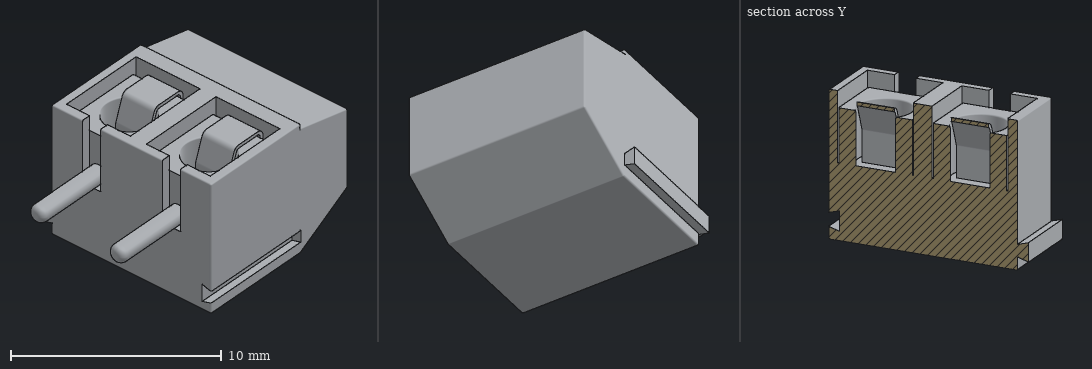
import cadquery as cq
import math

OVERALL_DEPTH = 14.1
BODY_WIDTH = 10.04
BODY_DEPTH = 10.0
BODY_HEIGHT = 7.6
STEP_Y = 6.55
STEP_DROP = 0.27
BACK_TOP_Z = 6.61
BACK_BOTTOM_Z = 1.97
EDGE_RADIUS = 0.1

POLE_COUNT = 2
POLE_PITCH = 5.0
FIRST_POLE_X = 2.54

POCKET_WIDTH = 4.0
FRONT_WALL = 0.51
POCKET_BACK_Y = 5.6
POCKET_BOTTOM_Z = 3.95

BLOCK_WIDTH = 3.9
BLOCK_BACK_Y = 5.33
BLOCK_TOP_Z = 6.74
SCREW_HOLE_RADIUS = 1.4
SCREW_HOLE_ROUND = 0.1
SCREW_HOLE_Y = 2.75

STRIP_WIDTH = 2.0
STRIP_THICKNESS = 0.2
STRIP_BACK_Y = BLOCK_BACK_Y + STRIP_THICKNESS
STRIP_TOP_Z = 7.19
STRIP_LEG_Y = 2.93
STRIP_BEND_Z = 5.64
STRIP_SLOPE = math.radians(20)
STRIP_BEND_RADIUS = 0.4

PIN_RADIUS = 0.5
PIN_LENGTH = OVERALL_DEPTH - BODY_DEPTH
PIN_Z = 4.5
PIN_TIP_ROUND = 0.35
SLOT_WIDTH = 1.13

RAIL_REACH = 0.56
RAIL_TIP_HEIGHT = 1.0
RAIL_Z = 1.0
RAIL_SLOPE = math.radians(16)
RAIL_ROOT_DEPTH = 2 * EDGE_RADIUS


def box(x_middle, width, y_start, y_end, z_start, z_end):
    """Box centred on x_middle, spanning the given y and z ranges."""
    size_y = y_end - y_start
    size_z = z_end - z_start
    corner = (x_middle - width / 2, y_start, z_start)
    return cq.Workplane("XY").box(width, size_y, size_z, centered=False).translate(corner)


def make_housing():
    side_outline = [
        (0, 0),
        (STEP_Y, 0),
        (BODY_DEPTH, BACK_BOTTOM_Z),
        (BODY_DEPTH, BACK_TOP_Z),
        (STEP_Y, BODY_HEIGHT - STEP_DROP),
        (STEP_Y, BODY_HEIGHT),
        (0, BODY_HEIGHT),
    ]
    housing = cq.Workplane("YZ").polyline(side_outline).close().extrude(BODY_WIDTH)
    inner_corner = cq.selectors.NearestToPointSelector(
        (BODY_WIDTH / 2, STEP_Y, BODY_HEIGHT - STEP_DROP)
    )
    return housing.edges(cq.selectors.InverseSelector(inner_corner)).fillet(EDGE_RADIUS)


def make_dovetail(face_x):
    """Dovetail bar pointing to -X from face_x, with its root set back behind that face."""
    root_x = face_x + RAIL_ROOT_DEPTH
    tip_x = face_x - RAIL_REACH
    half_tip = RAIL_TIP_HEIGHT / 2
    half_root = half_tip - (root_x - tip_x) * math.tan(RAIL_SLOPE)
    outline = [
        (tip_x, RAIL_Z - half_tip),
        (root_x, RAIL_Z - half_root),
        (root_x, RAIL_Z + half_root),
        (tip_x, RAIL_Z + half_tip),
    ]
    return cq.Workplane("XZ").polyline(outline).close().extrude(-STEP_Y)


def make_pocket(x_middle):
    """Space removed for one pole: the pocket plus the pin slot in the front wall."""
    pocket = box(x_middle, POCKET_WIDTH, FRONT_WALL, POCKET_BACK_Y, POCKET_BOTTOM_Z, BODY_HEIGHT)
    slot = box(x_middle, SLOT_WIDTH, 0, FRONT_WALL, POCKET_BOTTOM_Z, BODY_HEIGHT)
    return pocket.union(slot)


def make_block(x_middle):
    """Clamp block with a rounded screw hole down to the pocket bottom."""
    block = box(x_middle, BLOCK_WIDTH, FRONT_WALL, BLOCK_BACK_Y, POCKET_BOTTOM_Z, BLOCK_TOP_Z)
    hole = (
        cq.Workplane("XY")
        .center(x_middle, SCREW_HOLE_Y)
        .circle(SCREW_HOLE_RADIUS)
        .extrude(BODY_HEIGHT)
    )
    block = block.cut(hole)
    return block.faces(">Z").edges("%CIRCLE").fillet(SCREW_HOLE_ROUND)


def make_strip(x_middle):
    """Hooked strip: a hollow loop whose lower rung is buried in the housing."""
    rung_z = POCKET_BOTTOM_Z - STRIP_THICKNESS
    top_front_y = STRIP_LEG_Y + (STRIP_TOP_Z - STRIP_BEND_Z) * math.tan(STRIP_SLOPE)
    outline = [
        (STRIP_BACK_Y, rung_z),
        (STRIP_BACK_Y, STRIP_TOP_Z),
        (top_front_y, STRIP_TOP_Z),
        (STRIP_LEG_Y, STRIP_BEND_Z),
        (STRIP_LEG_Y, rung_z),
    ]
    loop = (
        cq.Workplane("YZ")
        .workplane(offset=x_middle - STRIP_WIDTH / 2)
        .polyline(outline)
        .close()
        .extrude(STRIP_WIDTH)
    )
    loop = loop.edges("|X").edges("not <Z").fillet(STRIP_BEND_RADIUS)
    return loop.faces("<X or >X").shell(-STRIP_THICKNESS)


def make_pin(x_middle):
    pin = (
        cq.Workplane("XZ", origin=(0, FRONT_WALL, 0))
        .center(x_middle, PIN_Z)
        .circle(PIN_RADIUS)
        .extrude(FRONT_WALL + PIN_LENGTH)
    )
    return pin.faces("<Y").edges().fillet(PIN_TIP_ROUND)


result = make_housing()
result = result.union(make_dovetail(0))
result = result.cut(make_dovetail(BODY_WIDTH))

for pole in range(POLE_COUNT):
    centre = FIRST_POLE_X + pole * POLE_PITCH
    result = result.cut(make_pocket(centre))
    result = result.union(make_block(centre))
    result = result.union(make_strip(centre))
    result = result.union(make_pin(centre))